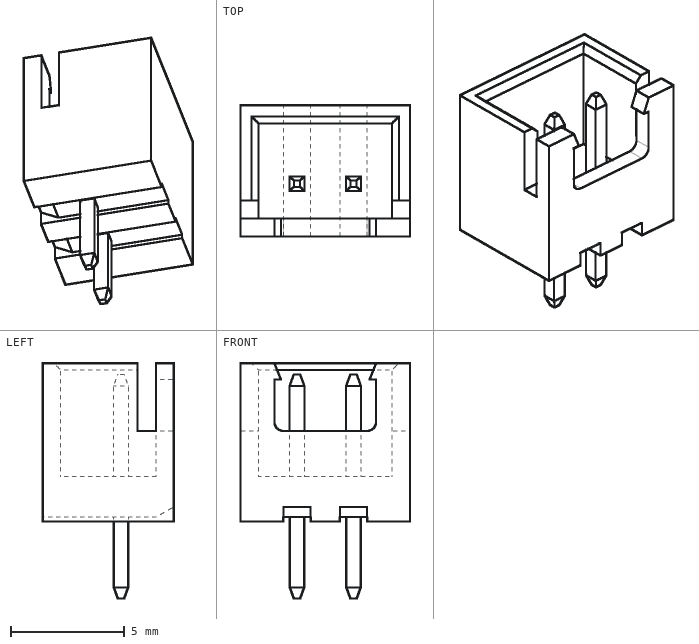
import cadquery as cq

TOTAL_HEIGHT = 10.4
WIDTH = 7.5
DEPTH = 5.8
PIN_BELOW = 3.4
HEIGHT = TOTAL_HEIGHT - PIN_BELOW

WALL = 0.8
FLOOR = 2.0
RIM_CHAMFER = 0.3

SLOT_WIDTH = WALL
SLOT_DEPTH = 3.0
WINDOW_WIDTH = 4.49
WINDOW_DEPTH = SLOT_DEPTH
WINDOW_RADIUS = 0.41
HOOK_REACH = 0.29
HOOK_HEIGHT = 0.73

PIN_PITCH = 2.5
PIN_SIZE = 0.65
PIN_Y = 2.34
PIN_TOP_GAP = 0.5
TIP_SIZE = 0.28
TIP_LENGTH = 0.5
PIN_CENTERS = (-PIN_PITCH / 2, PIN_PITCH / 2)

NOTCH_WIDTH = 1.2
NOTCH_FRONT_HEIGHT = 0.65
NOTCH_BACK_HEIGHT = 0.2


def box(width, depth, height, y, z):
    """Box centred on X, with its front face at y and its lower face at z."""
    return cq.Workplane("XY").box(width, depth, height, centered=(True, False, False)).translate((0, y, z))


def housing_shell():
    """Open-topped box whose rim is bevelled inward on the back and side walls."""
    cavity_width = WIDTH - 2 * WALL
    cavity_depth = DEPTH - 2 * WALL
    shell = box(WIDTH, DEPTH, HEIGHT, 0, 0)
    shell = shell.cut(box(cavity_width, cavity_depth, HEIGHT - FLOOR, WALL, FLOOR))
    bevel_base = HEIGHT - RIM_CHAMFER
    bevel = (
        cq.Workplane("XY")
        .workplane(offset=bevel_base)
        .center(0, WALL + cavity_depth / 2)
        .rect(cavity_width, cavity_depth)
        .workplane(offset=RIM_CHAMFER)
        .rect(cavity_width + 2 * RIM_CHAMFER, cavity_depth + 2 * RIM_CHAMFER)
        .loft(ruled=True)
    )
    front_wall_zone = box(WIDTH, WALL, HEIGHT, 0, 0)
    return shell.cut(bevel.cut(front_wall_zone))


def side_slots():
    """Slot through both side walls, directly behind the front wall."""
    return box(WIDTH, SLOT_WIDTH, SLOT_DEPTH, WALL, HEIGHT - SLOT_DEPTH)


def front_window():
    """Round-cornered opening in the front wall, narrowed by a hook on each side at the top."""
    half = WINDOW_WIDTH / 2
    opening = box(WINDOW_WIDTH, WALL, WINDOW_DEPTH, 0, HEIGHT - WINDOW_DEPTH)
    opening = opening.edges("|Y and <Z").fillet(WINDOW_RADIUS)
    hook_base = HEIGHT - HOOK_HEIGHT
    hook = (
        cq.Workplane("XZ")
        .polyline([(half, hook_base), (half - HOOK_REACH, hook_base), (half, HEIGHT)])
        .close()
        .extrude(-WALL)
    )
    return opening.cut(hook).cut(hook.mirror("YZ"))


def relief_notch(x):
    """Groove along Y in the lower face, deeper at the front wall, where its roof slopes."""
    return (
        cq.Workplane("YZ")
        .moveTo(0, 0)
        .lineTo(0, NOTCH_FRONT_HEIGHT)
        .lineTo(WALL, NOTCH_BACK_HEIGHT)
        .lineTo(DEPTH, NOTCH_BACK_HEIGHT)
        .lineTo(DEPTH, 0)
        .close()
        .extrude(NOTCH_WIDTH / 2, both=True)
        .translate((x, 0, 0))
    )


def pin(x):
    """Square pin tapered at both ends."""
    bottom = -PIN_BELOW
    top = HEIGHT - PIN_TOP_GAP

    def square(size, z):
        return cq.Workplane("XY", origin=(x, PIN_Y, z)).rect(size, size)

    straight = top - bottom - 2 * TIP_LENGTH
    shank = square(PIN_SIZE, bottom + TIP_LENGTH).extrude(straight)
    taper_top = square(PIN_SIZE, top - TIP_LENGTH).workplane(offset=TIP_LENGTH).rect(TIP_SIZE, TIP_SIZE)
    taper_bottom = square(TIP_SIZE, bottom).workplane(offset=TIP_LENGTH).rect(PIN_SIZE, PIN_SIZE)
    return shank.union(taper_top.loft()).union(taper_bottom.loft())


result = housing_shell().cut(side_slots()).cut(front_window())
for pin_x in PIN_CENTERS:
    result = result.cut(relief_notch(pin_x))
for pin_x in PIN_CENTERS:
    result = result.union(pin(pin_x))